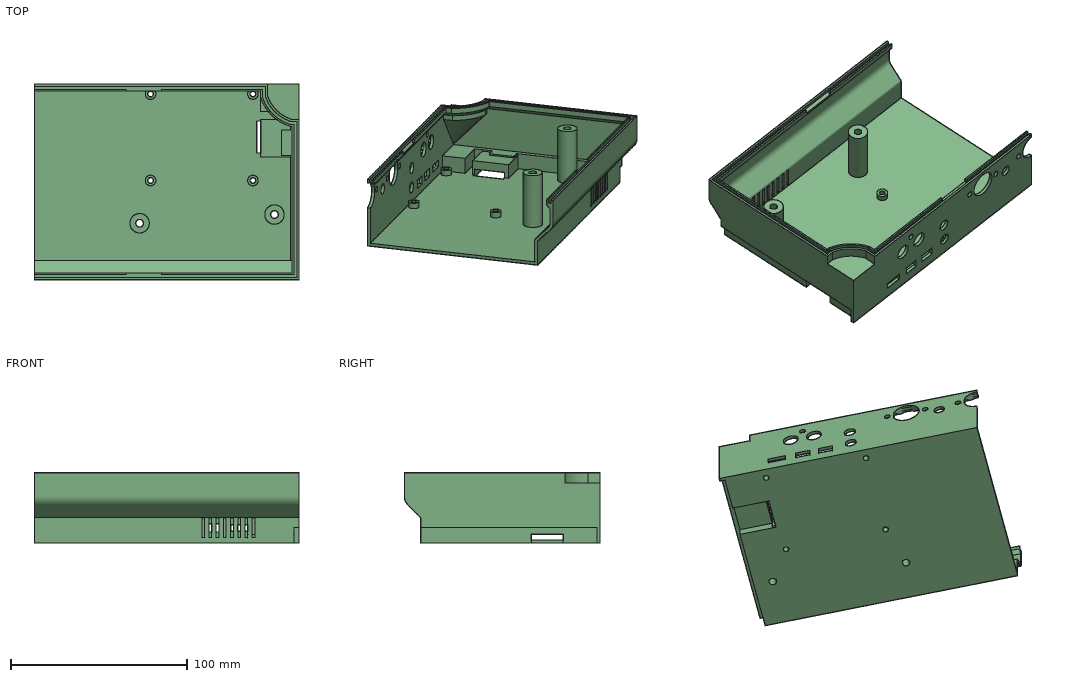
import cadquery as cq
import math

LENGTH = 149.95
WIDTH = 111.0
HEIGHT = 40.0
WALL = 1.85
PAST = 5.0

FOOT_INSET = 9.2
FOOT_HEIGHT = 14.5
BEND_RADIUS = 6.5
SLOPE = math.radians(45)
HALF_SLOPE = SLOPE / 2

RIM_WIDTH = 4.0
RIM_DEPTH = 3.0
GROOVE_OUTER_OFFSET = 1.3
GROOVE_INNER_OFFSET = 3.0
GROOVE_DEPTH = 1.8
LIP_GAP_X = (52.0, 72.0)

BITE_X = 17.8
BITE_Y = 20.0
BITE_RADIUS = 21.0
BITE_CENTER_X = LENGTH + 2.05
SHELF_TOP = 34.0
SHELF_THICKNESS = 2.0
CONE_TIP_Z = 11.3
CONE_TIP_SCALE = 0.01

RECESS_DEPTH = 3.0
RECESS_HEIGHT = 9.0
LINER_X = LENGTH - RECESS_DEPTH - WALL
LINER_TOP = RECESS_HEIGHT + WALL

BLOCK_X = LENGTH - 21.75
CORNER_BLOCK_Y = WIDTH - 15.5
PORT_BLOCK_Y = (69.5, 91.0)
PORT_BLOCK_TOP = 10.0
PORT_TAB_X = LENGTH - 10.0
PORT_TAB_Y = (70.4, 85.0)
PORT_SLOT_X = BLOCK_X - 2.1
PORT_SLOT_Y = (72.0, 90.0)
PORT_SLOT_TOP = 5.0

STANDOFF_DIAMETER = 6.0
STANDOFF_HOLE = 3.1
STANDOFF_TOP = 5.0
STANDOFF_ORIGIN = (65.8, 56.3)
STANDOFF_PITCH = (58.0, 49.0)
PILLAR_DIAMETER = 11.0
PILLAR_HOLE = 4.2
PILLAR_TOP = 33.0
PILLARS = [(59.6, 32.1), (136.0, 37.0)]

SOCKET_DIAMETER = 15.0
SOCKET_Z = 30.6
SOCKET_X = (0.0, 41.1)
SOCKET_SCREW_OFFSET = 11.0
SCREW_DIAMETER = 3.2
ROUND_HOLES = [
    (21.9, 27.1, 5.9),
    (73.9, 22.0, 6.5),
    (73.4, 10.5, 6.3),
    (94.8, 26.0, 8.5),
    (108.3, 26.0, 8.5),
    (101.5, 33.0, SCREW_DIAMETER),
]
PORT_WINDOWS = [
    (84.0, 92.2, 6.4, 11.0),
    (97.3, 105.4, 6.4, 11.0),
    (111.5, 121.4, 6.8, 10.4),
]

SLIT_COUNT = 8
SLIT_WIDTH = 1.5
SLIT_FIRST_X = 95.6
SLIT_PITCH = 4.08
SLIT_BOTTOM = 3.2
SLIT_TOP = 14.2


def box(x_range, y_range, z_range):
    """Axis-aligned block between the given limits."""
    size = [high - low for low, high in (x_range, y_range, z_range)]
    corner = (x_range[0], y_range[0], z_range[0])
    return cq.Workplane("XY").box(*size, centered=False).translate(corner)


def bite_ends(offset):
    """Ends of the bite's arc when the outline is moved inward by offset, and a point midway."""
    radius = BITE_RADIUS + offset
    bite_x = LENGTH - BITE_X - offset
    bite_y = WIDTH - BITE_Y - offset
    drop = math.sqrt(radius**2 - (BITE_CENTER_X - bite_x) ** 2)
    run = math.sqrt(radius**2 - (WIDTH - bite_y) ** 2)
    half = radius * math.sqrt(0.5)
    near_x_side = (BITE_CENTER_X - run, bite_y)
    near_y_side = (bite_x, WIDTH - drop)
    middle = (BITE_CENTER_X - half, WIDTH - half)
    return near_x_side, middle, near_y_side


def plan(offset, z):
    """Rim outline seen along Z, moved inward by offset and running out of the open end."""
    near_x_side, middle, near_y_side = bite_ends(offset)
    return (
        cq.Workplane("XY", origin=(0, 0, z))
        .moveTo(-PAST, offset)
        .lineTo(LENGTH - offset, offset)
        .lineTo(LENGTH - offset, near_x_side[1])
        .lineTo(*near_x_side)
        .threePointArc(middle, near_y_side)
        .lineTo(near_y_side[0], WIDTH - offset)
        .lineTo(-PAST, WIDTH - offset)
        .close()
    )


def corner_plan(offset, corner_inset, z, scale=1.0):
    """Corner area outside the bite's arc, shrunk about its corner by scale."""
    corner_x = LENGTH - corner_inset
    corner_y = WIDTH - corner_inset

    def shrunk(point):
        x, y = point
        return corner_x + (x - corner_x) * scale, corner_y + (y - corner_y) * scale

    near_x_side, middle, near_y_side = bite_ends(offset)
    return (
        cq.Workplane("XY", origin=(0, 0, z))
        .moveTo(corner_x, corner_y)
        .lineTo(*shrunk((corner_x, near_x_side[1])))
        .lineTo(*shrunk(near_x_side))
        .threePointArc(shrunk(middle), shrunk(near_y_side))
        .lineTo(*shrunk((near_y_side[0], corner_y)))
        .close()
    )


def loft(lower, upper):
    """Straight-sided solid between two closed outlines."""
    wires = [lower.wire().val(), upper.wire().val()]
    return cq.Workplane(cq.Solid.makeLoft(wires, True))


def side_profile(offset, top, start_x):
    """Outline across X, moved inward by offset and flat at the given top."""
    bend_radius = BEND_RADIUS - offset
    bend_center = (BEND_RADIUS, FOOT_HEIGHT + FOOT_INSET + BEND_RADIUS * math.tan(HALF_SLOPE))
    foot = FOOT_INSET + offset

    def on_bend(angle):
        return (
            bend_center[0] - bend_radius * math.cos(angle),
            bend_center[1] - bend_radius * math.sin(angle),
        )

    def on_knee(angle):
        return FOOT_INSET + offset * math.cos(angle), FOOT_HEIGHT + offset * math.sin(angle)

    profile = (
        cq.Workplane("YZ", origin=(start_x, 0, 0))
        .moveTo(WIDTH - offset, offset)
        .lineTo(foot, offset)
        .lineTo(*on_knee(0))
    )
    if offset > 0:
        profile = profile.threePointArc(on_knee(HALF_SLOPE), on_knee(SLOPE))
    return (
        profile.lineTo(*on_bend(SLOPE))
        .threePointArc(on_bend(HALF_SLOPE), on_bend(0))
        .lineTo(offset, top)
        .lineTo(WIDTH - offset, top)
        .close()
    )


def cavity():
    """Inside space, open at the -X end and narrowing below the rim."""
    rim_bottom = HEIGHT - RIM_DEPTH
    chamfer_bottom = rim_bottom - (RIM_WIDTH - WALL)
    lower = side_profile(WALL, chamfer_bottom, -PAST).extrude(PAST + LENGTH - WALL)
    chamfer = loft(plan(WALL, chamfer_bottom), plan(RIM_WIDTH, rim_bottom))
    mouth = plan(RIM_WIDTH, rim_bottom).extrude(RIM_DEPTH + PAST)
    shelf_bottom = SHELF_TOP - SHELF_THICKNESS
    shelf = corner_plan(WALL, WALL, shelf_bottom).extrude(chamfer_bottom - shelf_bottom)
    cone = loft(
        corner_plan(WALL, WALL, CONE_TIP_Z, CONE_TIP_SCALE),
        corner_plan(WALL, WALL, shelf_bottom),
    )
    return lower.cut(shelf).cut(cone).union(chamfer).union(mouth)


def rim_groove():
    """Groove along the rim, with the lip beside it removed over the gaps."""
    bottom = HEIGHT - GROOVE_DEPTH
    groove = plan(GROOVE_OUTER_OFFSET, bottom).extrude(GROOVE_DEPTH + PAST)
    groove = groove.cut(plan(GROOVE_INNER_OFFSET, bottom).extrude(GROOVE_DEPTH + PAST))
    lip_gap = box(LIP_GAP_X, (GROOVE_OUTER_OFFSET, WIDTH - GROOVE_OUTER_OFFSET), (bottom, HEIGHT + PAST))
    return groove.union(lip_gap)


def floor_blocks():
    """Liner behind the outside recess, corner block and port block."""
    inner_y = WIDTH - WALL
    inner_x = LENGTH - WALL
    liner = box((LINER_X, inner_x), (FOOT_INSET + WALL, inner_y), (WALL, LINER_TOP))
    corner = box((BLOCK_X, inner_x), (CORNER_BLOCK_Y, inner_y), (WALL, LINER_TOP))
    port = box((BLOCK_X, inner_x), PORT_BLOCK_Y, (WALL, PORT_BLOCK_TOP))
    tab = box((PORT_TAB_X, inner_x), PORT_TAB_Y, (WALL, LINER_TOP))
    return liner.union(corner).union(port).union(tab)


def recess_and_port_slot():
    """Recess along the bottom of the +X side and the slot leading from it into the case."""
    recess_y = (FOOT_INSET - PAST, WIDTH - WALL)
    recess = box((LENGTH - RECESS_DEPTH, LENGTH + PAST), recess_y, (-PAST, RECESS_HEIGHT))
    slot = box((PORT_SLOT_X, LENGTH + PAST), PORT_SLOT_Y, (-PAST, PORT_SLOT_TOP))
    return recess.union(slot)


def standoff_centers():
    """Centers of the four board standoffs."""
    x, y = STANDOFF_ORIGIN
    pitch_x, pitch_y = STANDOFF_PITCH
    return [(x + i * pitch_x, y + j * pitch_y) for i in (0, 1) for j in (0, 1)]


def posts(centers, diameter, top):
    """Round posts standing on the floor."""
    return cq.Workplane("XY").pushPoints(centers).circle(diameter / 2).extrude(top)


def wall_openings():
    """Round and rectangular openings through the +Y wall."""
    holes = list(ROUND_HOLES)
    for x in SOCKET_X:
        holes.append((x, SOCKET_Z, SOCKET_DIAMETER))
        for screw_x in (x - SOCKET_SCREW_OFFSET, x + SOCKET_SCREW_OFFSET):
            if screw_x > 0:
                holes.append((screw_x, SOCKET_Z, SCREW_DIAMETER))
    through = (WIDTH - RIM_WIDTH, WIDTH + PAST)
    openings = cq.Workplane("XY")
    for x, z, diameter in holes:
        hole_end = cq.Workplane("XZ", origin=(x, through[1], z))
        openings = openings.add(hole_end.circle(diameter / 2).extrude(through[1] - through[0]))
    for x_start, x_end, z_start, z_end in PORT_WINDOWS:
        openings = openings.add(box((x_start, x_end), through, (z_start, z_end)))
    return openings.combine()


def vent_slits():
    """Row of upright slits through the foot of the -Y side."""
    slits = cq.Workplane("XY")
    for i in range(SLIT_COUNT):
        x = SLIT_FIRST_X + i * SLIT_PITCH
        x_range = (x - SLIT_WIDTH / 2, x + SLIT_WIDTH / 2)
        slits = slits.add(box(x_range, (FOOT_INSET, FOOT_INSET + WALL), (SLIT_BOTTOM, SLIT_TOP)))
    return slits.combine()


result = side_profile(0, HEIGHT, 0).extrude(LENGTH).cut(cavity())
result = result.cut(corner_plan(0, -PAST, SHELF_TOP).extrude(HEIGHT))
result = result.cut(rim_groove())

result = result.union(floor_blocks())
result = result.union(posts(standoff_centers(), STANDOFF_DIAMETER, STANDOFF_TOP))
result = result.union(posts(PILLARS, PILLAR_DIAMETER, PILLAR_TOP))

result = result.cut(posts(standoff_centers(), STANDOFF_HOLE, HEIGHT))
result = result.cut(posts(PILLARS, PILLAR_HOLE, HEIGHT))
result = result.cut(recess_and_port_slot())
result = result.cut(wall_openings())
result = result.cut(vent_slits())